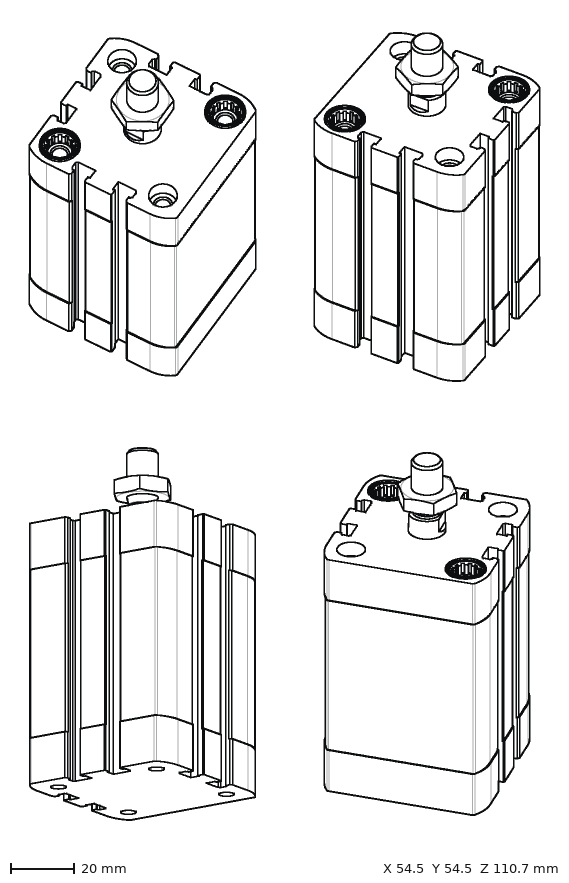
import cadquery as cq
import math

TOTAL_HEIGHT = 110.7
WIDTH = 54.5
HOUSING_HEIGHT = 85.0
HALF_WIDTH = WIDTH / 2

CAP_HEIGHT = 15.0
BARREL_INSET = 0.3
CORNER_ARC_START = 19.0
CAP_CORNER_RADIUS = 12.6
BARREL_CORNER_RADIUS = 13.5
CORNER_EDGE_FILLET = 0.9
HOLE_PITCH = 38.0
HOLE_OFFSET = HOLE_PITCH / 2

SLOT_FACE_ANGLES = (0, 90, 180)
SLOT_MOUTH_NEAR = 5.0
SLOT_MOUTH_FAR = 10.1
SLOT_POCKET_NEAR = 4.2
SLOT_POCKET_FAR = 11.2
SLOT_DEPTH = 5.5
SLOT_LIP = 2.2
NEAR_MOUTH_BEVEL = 0.3
FAR_MOUTH_BEVEL = 0.7
POCKET_BEVEL = 0.5
SLOT_OVERCUT = 1.1

THROUGH_DIAMETER = 4.9
COUNTERSINK_DIAMETER = 6.0
COUNTERBORE_DIAMETER = 9.0
COUNTERBORE_DEPTH = 5.0

SOCKET_RECESS_DIAMETER = 12.8
SOCKET_RECESS_DEPTH = 0.7
COLLAR_BASE_DIAMETER = 12.0
COLLAR_TOP_DIAMETER = 11.1
COLLAR_TOP_DEPTH = 0.2
SOCKET_MOUTH_DIAMETER = 10.0
SOCKET_DIAMETER = 8.2
SOCKET_DEPTH = 4.6
SPLINE_COUNT = 12
SPLINE_WIDTH = 1.0
SPLINE_END_DEPTH = 4.2
SPLINE_DIAMETER = 9.0

ROD_DIAMETER = 12.0
SHOULDER_HEIGHT = 6.5
FLATS_WIDTH = 10.0
FLATS_HEIGHT = 2.0
FLATS_RUNOUT = 0.7
NECK_BASE_DIAMETER = 9.0
NECK_DIAMETER = 8.2
NECK_START = 7.2
NECK_END = 8.0
THREAD_ROOT_DIAMETER = 8.6
THREAD_ROOT_START = 8.3
THREAD_DIAMETER = 10.0
THREAD_START = 10.5
TIP_DIAMETER = 8.5
TIP_HEIGHT = 1.0
ROD_HEIGHT = TOTAL_HEIGHT - HOUSING_HEIGHT

NUT_ACROSS_FLATS = 17.0
NUT_HEIGHT = 5.1
NUT_CHAMFER_DIAMETER = 16.6
NUT_CHAMFER_ANGLE = 15
NUT_BOTTOM = HOUSING_HEIGHT + THREAD_START


def revolved(profile):
    """Solid of revolution about Z from a closed (radius, height) profile."""
    return cq.Workplane("XZ").polyline(profile).close().revolve(360, (0, 0), (0, 1))


def slot_cutter(side, face, bottom, height):
    """One T-slot in the -Y face that lies `face` from the axis, on the given side of X = 0."""
    floor = HALF_WIDTH - SLOT_DEPTH
    ledge = HALF_WIDTH - SLOT_LIP
    outside = face + SLOT_OVERCUT
    profile = [
        (SLOT_POCKET_NEAR, floor),
        (SLOT_POCKET_NEAR, ledge),
        (SLOT_MOUTH_NEAR, ledge),
        (SLOT_MOUTH_NEAR, face - NEAR_MOUTH_BEVEL),
        (SLOT_MOUTH_NEAR - NEAR_MOUTH_BEVEL, face),
        (SLOT_MOUTH_NEAR - NEAR_MOUTH_BEVEL, outside),
        (SLOT_MOUTH_FAR + FAR_MOUTH_BEVEL, outside),
        (SLOT_MOUTH_FAR + FAR_MOUTH_BEVEL, face),
        (SLOT_MOUTH_FAR, face - FAR_MOUTH_BEVEL),
        (SLOT_MOUTH_FAR, ledge),
        (SLOT_POCKET_FAR - POCKET_BEVEL, ledge),
        (SLOT_POCKET_FAR, ledge - POCKET_BEVEL),
        (SLOT_POCKET_FAR, floor + POCKET_BEVEL),
        (SLOT_POCKET_FAR - POCKET_BEVEL, floor),
    ]
    points = [(side * along, -out) for along, out in profile]
    return cq.Workplane("XY").workplane(offset=bottom).polyline(points).close().extrude(height)


def housing_section(inset, radius, bottom, height):
    """A slotted length of the housing, `inset` inside the full width, with corner arcs of one radius."""
    half = HALF_WIDTH - inset
    sweep = math.asin((half - CORNER_ARC_START) / radius)
    centre_y = half - radius
    mid_point = (CORNER_ARC_START + radius * math.sin(sweep / 2), centre_y + radius * math.cos(sweep / 2))
    corner_y = centre_y + radius * math.cos(sweep)
    section = (
        cq.Workplane("XY").workplane(offset=bottom)
        .moveTo(-CORNER_ARC_START, half)
        .lineTo(CORNER_ARC_START, half)
        .threePointArc(mid_point, (half, corner_y))
        .lineTo(half, -corner_y)
        .threePointArc((mid_point[0], -mid_point[1]), (CORNER_ARC_START, -half))
        .lineTo(-CORNER_ARC_START, -half)
        .threePointArc((-mid_point[0], -mid_point[1]), (-half, -corner_y))
        .lineTo(-half, corner_y)
        .threePointArc((-mid_point[0], mid_point[1]), (-CORNER_ARC_START, half))
        .close()
        .extrude(height)
        .edges("|Z and (<X or >X)").fillet(CORNER_EDGE_FILLET)
    )
    for angle in SLOT_FACE_ANGLES:
        for side in (-1, 1):
            cutter = slot_cutter(side, half, bottom, height)
            section = section.cut(cutter.rotate((0, 0, 0), (0, 0, 1), -angle))
    return section


def through_hole(floor_height):
    """Profile of a through hole, countersunk where it leaves a floor at the given height."""
    small = THROUGH_DIAMETER / 2
    large = COUNTERSINK_DIAMETER / 2
    return [(0, 0), (small, 0), (small, floor_height - (large - small)), (large, floor_height)]


def plain_hole_cutter():
    """Counterbored through hole."""
    floor = HOUSING_HEIGHT - COUNTERBORE_DEPTH
    bore = COUNTERBORE_DIAMETER / 2
    return revolved(
        through_hole(floor) + [(bore, floor), (bore, HOUSING_HEIGHT), (0, HOUSING_HEIGHT)]
    )


def socket_hole_cutter():
    """Through hole below a splined socket, which opens in a bevelled collar in a round recess."""
    floor = HOUSING_HEIGHT - SOCKET_DEPTH
    recess_floor = HOUSING_HEIGHT - SOCKET_RECESS_DEPTH
    collar_top = HOUSING_HEIGHT - COLLAR_TOP_DEPTH
    socket = SOCKET_DIAMETER / 2
    mouth = SOCKET_MOUTH_DIAMETER / 2
    recess = SOCKET_RECESS_DIAMETER / 2
    land_top = collar_top - (mouth - socket)
    cutter = revolved(
        through_hole(floor)
        + [
            (socket, floor),
            (socket, land_top),
            (mouth, collar_top),
            (COLLAR_TOP_DIAMETER / 2, collar_top),
            (COLLAR_BASE_DIAMETER / 2, recess_floor),
            (recess, recess_floor),
            (recess, HOUSING_HEIGHT),
            (0, HOUSING_HEIGHT),
        ]
    )
    spline_end = HOUSING_HEIGHT - SPLINE_END_DEPTH
    spline_reach = SPLINE_DIAMETER / 2
    spline = (
        cq.Workplane("XY").workplane(offset=spline_end)
        .center(spline_reach / 2, 0)
        .rect(spline_reach, SPLINE_WIDTH)
        .extrude(collar_top - spline_end)
    )
    for index in range(SPLINE_COUNT):
        cutter = cutter.union(spline.rotate((0, 0, 0), (0, 0, 1), index * 360 / SPLINE_COUNT))
    return cutter


def make_housing():
    """End caps and barrel in one solid, with its corner holes."""
    barrel_height = HOUSING_HEIGHT - 2 * CAP_HEIGHT
    top_cap_bottom = HOUSING_HEIGHT - CAP_HEIGHT
    housing = (
        housing_section(0, CAP_CORNER_RADIUS, 0, CAP_HEIGHT)
        .union(housing_section(BARREL_INSET, BARREL_CORNER_RADIUS, CAP_HEIGHT, barrel_height))
        .union(housing_section(0, CAP_CORNER_RADIUS, top_cap_bottom, CAP_HEIGHT))
    )
    plain_hole = plain_hole_cutter()
    socket_hole = socket_hole_cutter()
    for side in (-1, 1):
        housing = housing.cut(plain_hole.translate((side * HOLE_OFFSET, -side * HOLE_OFFSET, 0)))
        housing = housing.cut(socket_hole.translate((side * HOLE_OFFSET, side * HOLE_OFFSET, 0)))
    return housing


def make_rod():
    """Stepped rod standing on the housing, with two wrench flats facing -Y and +Y."""
    rod = revolved([
        (0, 0),
        (ROD_DIAMETER / 2, 0),
        (ROD_DIAMETER / 2, SHOULDER_HEIGHT),
        (NECK_BASE_DIAMETER / 2, SHOULDER_HEIGHT),
        (NECK_DIAMETER / 2, NECK_START),
        (NECK_DIAMETER / 2, NECK_END),
        (THREAD_ROOT_DIAMETER / 2, THREAD_ROOT_START),
        (THREAD_DIAMETER / 2, THREAD_START),
        (THREAD_DIAMETER / 2, ROD_HEIGHT - TIP_HEIGHT),
        (TIP_DIAMETER / 2, ROD_HEIGHT),
        (0, ROD_HEIGHT),
    ])
    flat = FLATS_WIDTH / 2
    edge = ROD_DIAMETER / 2
    flat_cutter = (
        cq.Workplane("YZ")
        .polyline([
            (flat, FLATS_HEIGHT),
            (edge, FLATS_HEIGHT - FLATS_RUNOUT),
            (edge, SHOULDER_HEIGHT),
            (flat, SHOULDER_HEIGHT),
        ])
        .close()
        .extrude(edge, both=True)
    )
    rod = rod.cut(flat_cutter).cut(flat_cutter.mirror("XZ"))
    return rod.translate((0, 0, HOUSING_HEIGHT))


def make_nut():
    """Hexagon nut with corners on the Y axis and conical chamfers at both ends."""
    corner_radius = NUT_ACROSS_FLATS / math.sqrt(3)
    face_radius = NUT_CHAMFER_DIAMETER / 2
    chamfer_height = (corner_radius - face_radius) * math.tan(math.radians(NUT_CHAMFER_ANGLE))
    envelope = revolved([
        (0, 0),
        (face_radius, 0),
        (corner_radius, chamfer_height),
        (corner_radius, NUT_HEIGHT - chamfer_height),
        (face_radius, NUT_HEIGHT),
        (0, NUT_HEIGHT),
    ])
    nut = (
        cq.Workplane("XY")
        .polygon(6, 2 * corner_radius)
        .extrude(NUT_HEIGHT)
        .rotate((0, 0, 0), (0, 0, 1), 90)
        .intersect(envelope)
        .faces(">Z").workplane(origin=(0, 0, NUT_HEIGHT))
        .hole(THREAD_DIAMETER)
    )
    return nut.translate((0, 0, NUT_BOTTOM))


housing = make_housing()
rod = make_rod()
nut = make_nut()
result = cq.Compound.makeCompound([housing.val(), rod.val(), nut.val()])